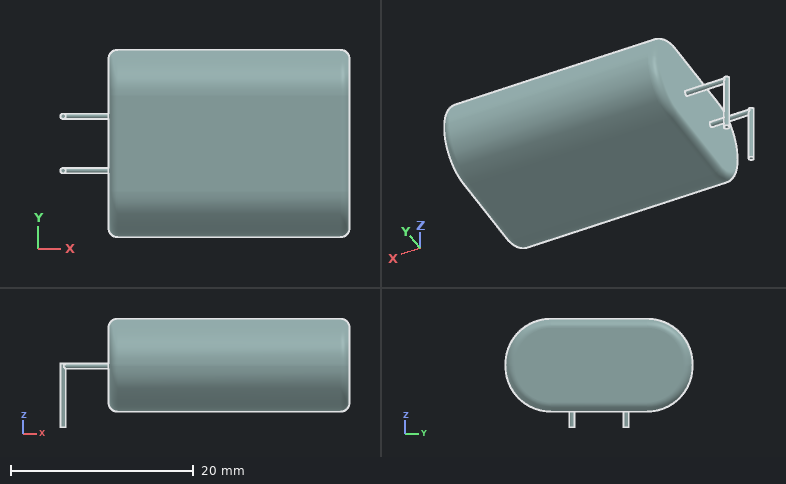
import cadquery as cq

total_length = 31.65
body_length = 26.4
body_width = 20.5
body_height = 10.2
corner_radius = 5.0
end_fillet = 1.0

lead_diameter = 0.6
lead_pitch = 5.95
lead_top = 0.2
lead_drop = 7.0
lead_embed = 0.32

lead_radius = lead_diameter / 2
body_front = total_length - body_length
lead_axis_z = lead_top - lead_radius


def make_body():
    """Rounded block along X with softened end rims."""
    block = cq.Workplane("XY").box(body_length, body_width, body_height)
    block = block.edges("|X").fillet(corner_radius)
    block = block.faces("<X or >X").edges().fillet(end_fillet)
    return block.translate((body_front + body_length / 2, 0, 0))


def make_lead(y):
    """Horizontal wire out of the body, meeting a flat-topped vertical pin."""
    pin = (
        cq.Workplane("XY", origin=(lead_radius, y, lead_top))
        .circle(lead_radius)
        .extrude(-lead_drop)
    )
    wire = (
        cq.Workplane("YZ", origin=(lead_radius, y, lead_axis_z))
        .circle(lead_radius)
        .extrude(body_front + lead_embed - lead_radius)
    )
    return pin.union(wire)


result = make_body()
for side in (-1, 1):
    result = result.union(make_lead(side * lead_pitch / 2))